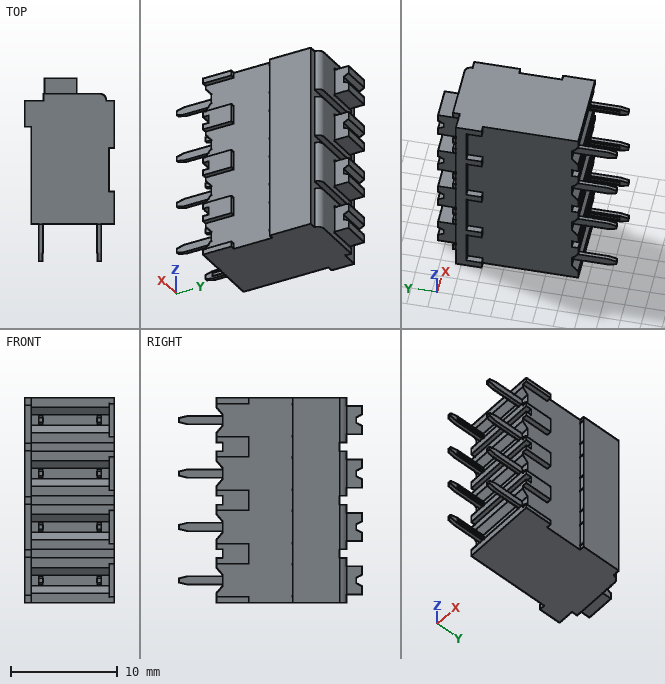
import cadquery as cq


pole_count = 4
pitch = 5.0
pole_height = 4.2
total_height = (pole_count - 1) * pitch + pole_height
gap_height = pitch - pole_height
pole_centers = [pole_height / 2 + i * pitch for i in range(pole_count)]
gap_centers = [pole_height + gap_height / 2 + i * pitch for i in range(pole_count - 1)]

width = 8.4
housing_top = 11.55
lip_depth = 0.6
lip_bottom = 10.55
finger_bottom = 9.1
finger_height = 0.7

shoulder_left = 1.75
shoulder_right = 7.65
shoulder_height = 0.65
shoulder_radius = 0.6

button_left = 1.85
button_right = 4.9
button_height = 2.66
button_top = 13.65
button_notch_depth = 0.53
button_notch_mouth = 1.06
button_notch_floor = 0.5
slot_mouth = 2.96
slot_floor = 2.8

notch_depth = 0.5
notch_bottom = 3.05
notch_top = 7.15
notch_left = width - notch_depth
side_slot_height = 3.1
flank_drop = 0.05
flank_height = 0.16

seat_depth = 0.6
groove_mouth = 2.4
groove_floor = 1.0

left_pin_x = 1.3
right_pin_x = 6.8
pin_thickness = 0.38
pin_height = 0.8
pin_tip_height = 0.4
pin_end = -3.5
pin_taper_start = -2.7
pin_ridge_height = 0.35
pin_ridge_depth = 0.06


def box(x_min, x_max, y_min, y_max, z_center, height):
    """Box given by its X and Y limits, its Z center and its Z height."""
    size_x = x_max - x_min
    size_y = y_max - y_min
    center = (x_min + size_x / 2, y_min + size_y / 2, z_center)
    return cq.Workplane("XY").box(size_x, size_y, height).translate(center)


def x_prism(points, x_min, x_max):
    """Prism along X with the (Y, Z) outline given by points."""
    return cq.Workplane("YZ").workplane(offset=x_min).polyline(points).close().extrude(x_max - x_min)


def trapezoid(y_first, height_first, y_second, height_second, z_center):
    """(Y, Z) outline of a trapezoid symmetric about z_center."""
    return [
        (y_first, z_center - height_first / 2),
        (y_second, z_center - height_second / 2),
        (y_second, z_center + height_second / 2),
        (y_first, z_center + height_first / 2),
    ]


def make_housing():
    middle = total_height / 2
    housing = box(lip_depth, width, 0, housing_top, middle, total_height)
    housing = housing.union(box(0, lip_depth, lip_bottom, housing_top, middle, total_height))
    end_fingers = [finger_height / 2, total_height - finger_height / 2]
    for z in end_fingers + gap_centers:
        housing = housing.union(box(0, lip_depth, finger_bottom, lip_bottom, z, finger_height))
    housing = housing.cut(box(notch_left, width, notch_bottom, notch_top, middle, total_height))
    for z in gap_centers:
        housing = housing.cut(box(lip_depth, width, 0, seat_depth, z, gap_height))
    return housing


def make_shoulder(z):
    block = box(
        shoulder_left, shoulder_right, housing_top, housing_top + shoulder_height, z, pole_height
    )
    block = block.edges("|Z and >X and >Y").fillet(shoulder_radius)
    slot = trapezoid(housing_top, slot_floor, housing_top + shoulder_height, slot_mouth, z)
    return block.cut(x_prism(slot, shoulder_left, button_right))


def make_button(z):
    button = box(button_left, button_right, housing_top, button_top, z, button_height)
    notch_floor = button_top - button_notch_depth
    notch = trapezoid(notch_floor, button_notch_floor, button_top, button_notch_mouth, z)
    return button.cut(x_prism(notch, button_left, button_right))


def make_notch_flanks(z):
    """Two small wedges under the top of the side notch."""
    flank_bottom = notch_top - flank_drop
    slab = box(notch_left, width, flank_bottom, notch_top, z, side_slot_height)
    trough_floor = side_slot_height - 2 * flank_height
    trough = trapezoid(flank_bottom, side_slot_height, notch_top, trough_floor, z)
    return slab.cut(x_prism(trough, notch_left, width))


def make_pin(x_left, faces_right, z):
    """Tapered flat pin with a ridge on the face turned to the other pin."""
    x_right = x_left + pin_thickness
    shank = box(x_left, x_right, pin_taper_start, seat_depth, z, pin_height)
    tip = trapezoid(pin_end, pin_tip_height, pin_taper_start, pin_height, z)
    pin = shank.union(x_prism(tip, x_left, x_right))
    if faces_right:
        ridge_left = x_right
    else:
        ridge_left = x_left - pin_ridge_depth
    ridge_right = ridge_left + pin_ridge_depth
    return pin.union(box(ridge_left, ridge_right, pin_taper_start, seat_depth, z, pin_ridge_height))


def make_groove_cut(z):
    groove = trapezoid(0, groove_mouth, seat_depth, groove_floor, z)
    return x_prism(groove, lip_depth, width)


def make_side_slot_cut(z):
    return box(notch_left, width, 0, notch_bottom, z, side_slot_height)


result = make_housing()
for z in pole_centers:
    result = result.cut(make_groove_cut(z)).cut(make_side_slot_cut(z))
    result = result.union(make_shoulder(z)).union(make_button(z)).union(make_notch_flanks(z))
    result = result.union(make_pin(left_pin_x, True, z)).union(make_pin(right_pin_x, False, z))